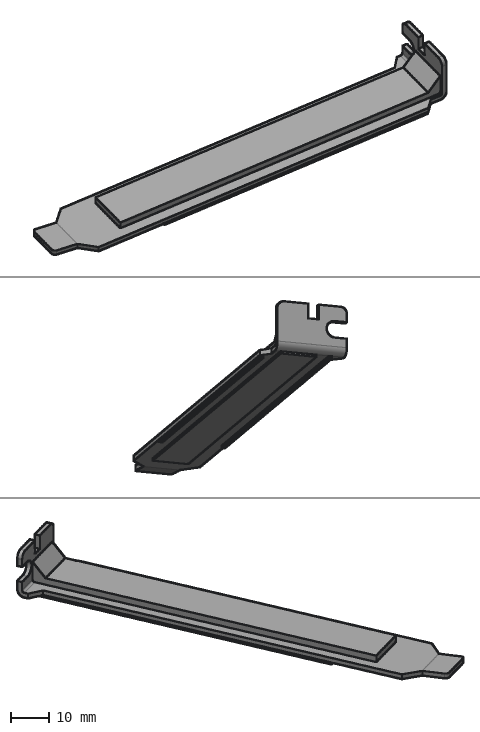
import cadquery as cq

length = 121.3
width = 21.6
height = 13.7

sheet = 1.5
underside = 0.6
blade_top = underside + sheet
inner_bend = 0.6
outer_bend = inner_bend + sheet

blade_left = 3.3
flange_width = 19.2
left_taper_start = 3.2
left_taper_end = 6.0
right_taper_start = 5.0
right_taper_end = 7.3
end_taper_start = 109.9

tail_left = 7.3
tail_right = 17.5
tail_start = 113.9
tail_rise = 0.8
tail_corner = 1.0

flange_corner = 1.8
notch_left = 7.8
notch_width = 2.9
notch_depth = 4.0
slot_width = 4.5
slot_depth = 5.6
slot_height = 7.4

pad_left = 6.3
pad_right = 18.3
pad_top = 4.0
pad_end = 101.0
ramp_top = 8.0
ramp_end = 5.2
overlap = sheet / 2

rib_width = 0.8
rib_inset = 0.1
rib_end = 89.4
center_rib_left = 7.8
center_rib_right = 17.6
center_rib_end = 106.1


def box(x_start, x_end, y_start, y_end, z_start, z_end):
    """Box between two opposite corners."""
    size = (x_end - x_start, y_end - y_start, z_end - z_start)
    return cq.Workplane("XY").box(*size, centered=False).translate((x_start, y_start, z_start))


def side_profile(points, x_start, x_end):
    """Closed (Y, Z) outline extruded along X."""
    return cq.Workplane("YZ").workplane(offset=x_start).polyline(points).close().extrude(x_end - x_start)


def make_blade():
    outline = [
        (0, 0),
        (flange_width, 0),
        (flange_width, -right_taper_start),
        (width, -right_taper_end),
        (width, -end_taper_start),
        (tail_right, -tail_start),
        (tail_left, -tail_start),
        (blade_left, -end_taper_start),
        (blade_left, -left_taper_end),
        (0, -left_taper_start),
    ]
    return cq.Workplane("XY").workplane(offset=underside).polyline(outline).close().extrude(sheet)


def make_tail():
    outline = [
        (-tail_start, underside),
        (-tail_start, blade_top),
        (-length, blade_top + tail_rise),
        (-length, underside + tail_rise),
    ]
    tail = side_profile(outline, tail_left, tail_right)
    return tail.faces("<Y").edges("not |X").fillet(tail_corner)


def make_flange():
    flange = box(0, flange_width, -sheet, 0, underside, height)
    flange = flange.faces(">Z").edges("|Y").fillet(flange_corner)
    notch = box(notch_left, notch_left + notch_width, -sheet, 0, height - notch_depth, height)
    radius = slot_width / 2
    arc_x = slot_depth - radius
    slot = box(0, arc_x, -sheet, 0, slot_height - radius, slot_height + radius)
    slot_end = cq.Workplane("XZ").center(arc_x, slot_height).circle(radius).extrude(sheet)
    return flange.cut(notch).cut(slot).cut(slot_end)


def edge_along_x(y, z):
    """Selector for edges that run along X at the given Y and Z."""
    margin = 0.1
    low_corner = (-margin, y - margin, z - margin)
    high_corner = (width + margin, y + margin, z + margin)
    return cq.selectors.BoxSelector(low_corner, high_corner, boundingbox=True)


def make_bent_sheet():
    sheet_body = make_blade().union(make_flange())
    sheet_body = sheet_body.edges(edge_along_x(-sheet, blade_top)).fillet(inner_bend)
    return sheet_body.edges(edge_along_x(0, underside)).fillet(outer_bend)


def make_pad():
    outline = [
        (-overlap, blade_top - overlap),
        (-overlap, ramp_top),
        (-sheet, ramp_top),
        (-ramp_end, pad_top),
        (-pad_end, pad_top),
        (-pad_end, blade_top - overlap),
    ]
    return side_profile(outline, pad_left, pad_right)


def make_ribs():
    left_start = blade_left + rib_inset
    right_end = width - rib_inset
    left = box(left_start, left_start + rib_width, -rib_end, -outer_bend, 0, underside)
    right = box(right_end - rib_width, right_end, -rib_end, -right_taper_end, 0, underside)
    center = box(center_rib_left, center_rib_right, -center_rib_end, -outer_bend, 0, underside)
    return [left, right, center]


result = make_bent_sheet().union(make_tail()).union(make_pad())
for rib in make_ribs():
    result = result.union(rib)